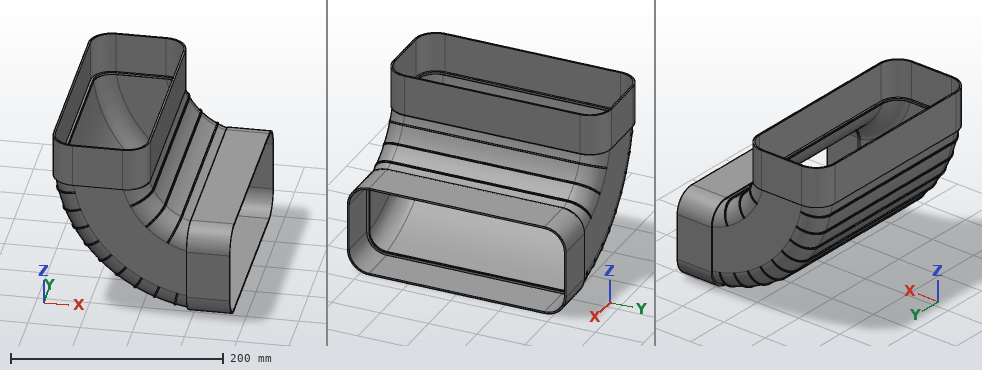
import cadquery as cq


depth_y = 226.5
socket_width = 92.9
socket_corner = 22.5
socket_wall = 1.8
top_socket_length = 42.1
side_socket_length = 41.5
lip_thickness = 2.0
lip_inset = 4.0

joint_offset = 20.8
socket_reach = 152.2
bend_outer_radius = 151.3
bend_inner_radius = 63.9
bend_side_inset = 1.5
bend_corner = 20.4
bend_wall = 2.3

rib_width = 1.4
rib_height = 1.1
rib_root_inset = bend_wall / 2
rib_middle_angle = 44.9
outer_rib_count = 9
outer_rib_pitch = 8.0
inner_rib_count = 3
inner_rib_pitch = 17.5

bend_depth = depth_y - 2 * bend_side_inset
bend_middle_radius = (bend_inner_radius + bend_outer_radius) / 2
socket_center = socket_reach - socket_width / 2


def bend_section(inner_radius, outer_radius, inset=0.0):
    """Rounded rectangle across the duct at the -X side of the bend axis."""
    return (
        cq.Sketch()
        .push([(-(outer_radius + inner_radius) / 2, 0)])
        .rect(outer_radius - inner_radius - 2 * inset, bend_depth - 2 * inset)
        .reset()
        .vertices()
        .fillet(bend_corner - inset)
    )


def bend_ring(inset=0.0):
    """Quarter of the duct ring, trimmed at both joint planes."""
    section = bend_section(bend_inner_radius, bend_outer_radius, inset)
    quarter = cq.Workplane("XY").placeSketch(section).revolve(90, (0, 0), (0, -1))
    trim_size = bend_outer_radius
    trim = cq.Workplane("XY").box(trim_size, depth_y, trim_size)
    trim_center = -joint_offset - trim_size / 2
    return quarter.intersect(trim.translate((trim_center, 0, trim_center)))


def section_plate(section):
    return cq.Workplane("XY").placeSketch(section).extrude(rib_width / 2, both=True)


def rib(angle, inner_radius, outer_radius):
    """Thin collar in a radial plane, rooted in the bend wall."""
    collar = section_plate(bend_section(inner_radius, outer_radius))
    bore = section_plate(bend_section(bend_inner_radius, bend_outer_radius, rib_root_inset))
    return collar.cut(bore).rotate((0, 0, 0), (0, 1, 0), -angle)


def rib_angles(count, pitch):
    first = rib_middle_angle - pitch * (count - 1) / 2
    return [first + pitch * i for i in range(count)]


def socket_prism(inset, start, end):
    """Upright rounded block over the bend, between two heights above the joint plane."""
    return (
        cq.Workplane("XY", origin=(-socket_center, 0, start - joint_offset))
        .rect(socket_width - 2 * inset, depth_y - 2 * inset)
        .extrude(end - start)
        .edges("|Z")
        .fillet(socket_corner - inset)
    )


def socket(length):
    """Upward socket with a stop plate at its inner end."""
    body = socket_prism(0.0, 0.0, length)
    pocket = socket_prism(socket_wall, lip_thickness, length)
    opening = socket_prism(lip_inset, 0.0, length)
    return body.cut(pocket).cut(opening)


bend = bend_ring().cut(bend_ring(bend_wall))
for rib_angle in rib_angles(outer_rib_count, outer_rib_pitch):
    bend = bend.union(rib(rib_angle, bend_middle_radius, bend_outer_radius + rib_height))
for rib_angle in rib_angles(inner_rib_count, inner_rib_pitch):
    bend = bend.union(rib(rib_angle, bend_inner_radius - rib_height, bend_middle_radius))

top_socket = socket(top_socket_length)
side_socket = socket(side_socket_length).mirror("XY").rotate((0, 0, 0), (0, 1, 0), -90)

result = bend.union(top_socket).union(side_socket)